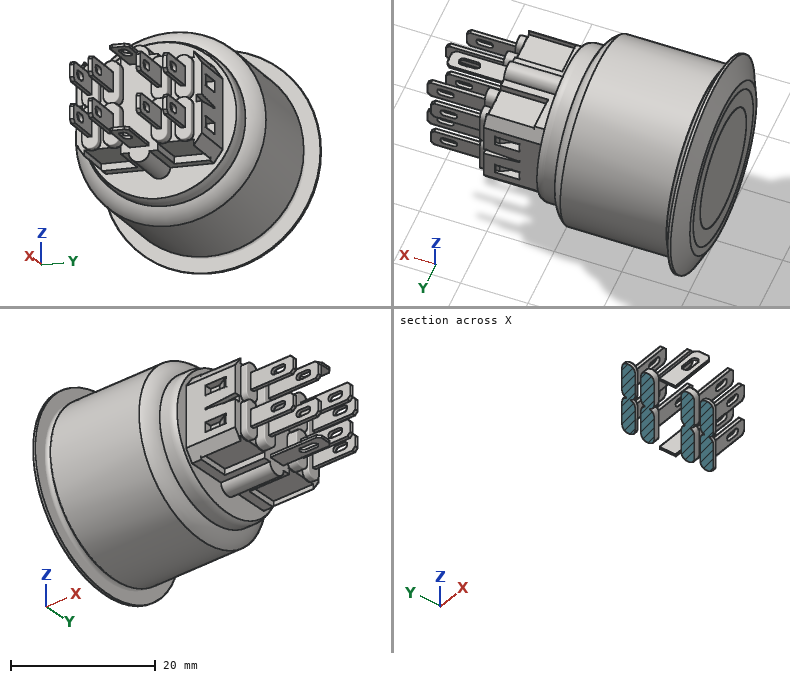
import cadquery as cq


flange_dia = 32.0
face_dia = 25.35
neck_dia = 26.92
neck_rear_rise = 0.3
body_dia = 27.9
collar_dia = 23.1
flange_cone_length = 1.55
flange_length = 2.0
neck_end = 3.0
body_end = 18.75
collar_start = 20.5
shoulder_bulge = 0.2
collar_length = 2.8
collar_end = collar_start + collar_length
collar_fillet = 1.1
collar_fillet_drop = 0.35

face_gaps = [(17.6, 17.5), (22.8, 22.75)]
face_gap_depth = 0.42

block_end = 31.95
block_half_width = 9.2
block_top_half_width = 7.9
block_half_height = 6.95
block_side_half_height = 5.1
rib_radius = 1.53
rib_height = 1.45

pocket_start = 24.95
pocket_inner_y = 2.7
pocket_outer_y = 8.0
pocket_floor_z = 5.95

row_z = 3.0
window_start = 26.65
window_end = 30.3
window_height = 1.6
window_depth = 1.2
latch_ramp_start = 28.3
latch_ramp_end = 29.72
latch_depth = 0.4
slit_depth = 0.85
slit_tip_width = 0.15
slit_end_width = 0.98

boss_width = 2.37
boss_height = 6.15
boss_corner_radius = 1.1
boss_edge_fillet = 0.13
outer_row_y = 6.83
outer_boss_length = 1.1
inner_row_y = 3.5
inner_boss_length = 1.65

part_length = 42.4
short_terminal_end = 40.6
terminal_width = 2.8
terminal_root = 0.85
terminal_corner = 0.5
side_terminal_thickness = 0.6
side_hole_length = 2.45
side_hole_width = 1.1
middle_terminal_z = 5.98
middle_terminal_thickness = 0.42
middle_hole_length = 3.1
middle_hole_width = 1.2
hole_end_margin = 1.45


def box(x_range, y_range, z_range):
    """Axis-aligned box spanning the given (low, high) ranges."""
    lows, highs = zip(x_range, y_range, z_range)
    size = [high - low for low, high in zip(lows, highs)]
    return cq.Workplane("XY").box(*size, centered=False).translate(lows)


def turned_body():
    """Flange, neck groove, barrel and rear collar as one revolved profile."""
    body_radius = body_dia / 2
    neck_radius = neck_dia / 2
    collar_radius = collar_dia / 2
    rounded_radius = collar_radius - collar_fillet_drop
    neck_mid = ((flange_length + neck_end) / 2, neck_radius)
    shoulder_mid = (
        (body_end + collar_start) / 2 + shoulder_bulge,
        (body_radius + collar_radius) / 2 + shoulder_bulge,
    )
    profile = (
        cq.Workplane("XY")
        .lineTo(0, face_dia / 2)
        .lineTo(flange_cone_length, flange_dia / 2)
        .lineTo(flange_length, flange_dia / 2)
        .lineTo(flange_length, body_radius)
        .threePointArc(neck_mid, (neck_end, neck_radius + neck_rear_rise))
        .lineTo(neck_end, body_radius)
        .lineTo(body_end, body_radius)
        .threePointArc(shoulder_mid, (collar_start, collar_radius))
        .lineTo(collar_end - collar_fillet, collar_radius)
        .tangentArcPoint((collar_end, rounded_radius), relative=False)
        .lineTo(collar_end, 0)
        .close()
    )
    body = profile.revolve(360, (0, 0, 0), (1, 0, 0))
    for outer_dia, inner_dia in face_gaps:
        gap = cq.Workplane("YZ").circle(outer_dia / 2).circle(inner_dia / 2).extrude(face_gap_depth)
        body = body.cut(gap)
    return body


def terminal_block():
    """Chamfered block with a round rib along the middle of its top and bottom."""
    length = block_end - collar_end
    corners = [
        (block_half_width, block_side_half_height),
        (block_top_half_width, block_half_height),
        (-block_top_half_width, block_half_height),
        (-block_half_width, block_side_half_height),
        (-block_half_width, -block_side_half_height),
        (-block_top_half_width, -block_half_height),
        (block_top_half_width, -block_half_height),
        (block_half_width, -block_side_half_height),
    ]
    base = cq.Workplane("YZ", origin=(collar_end, 0, 0))
    block = base.polyline(corners).close().extrude(length)
    rib_z = block_half_height + rib_height - rib_radius
    for side in (1, -1):
        block = block.union(base.center(0, side * rib_z).circle(rib_radius).extrude(length))
    return block


def top_pocket():
    """Cutter for the pocket in the +Y, +Z quarter of the block."""
    return box(
        (pocket_start, block_end),
        (pocket_inner_y, pocket_outer_y),
        (pocket_floor_z, block_half_height),
    )


def latch_window():
    """Cutter for the +Y, +Z latch window; it leaves the ramped latch inside."""
    floor_y = block_half_width - window_depth
    latch_y = block_half_width - latch_depth
    return (
        cq.Workplane("XY", origin=(0, 0, row_z - window_height / 2))
        .moveTo(window_start, block_half_width)
        .lineTo(window_start, floor_y)
        .lineTo(latch_ramp_start, floor_y)
        .lineTo(latch_ramp_end, latch_y)
        .lineTo(window_end, latch_y)
        .lineTo(window_end, block_half_width)
        .close()
        .extrude(window_height)
    )


def side_slit():
    """Cutter for the slit in the +Y side, widening towards the rear."""
    half_tip = slit_tip_width / 2
    half_end = slit_end_width / 2
    outline = [
        (window_start, half_tip),
        (block_end, half_end),
        (block_end, -half_end),
        (window_start, -half_tip),
    ]
    return (
        cq.Workplane("XZ", origin=(0, block_half_width, 0))
        .polyline(outline)
        .close()
        .extrude(slit_depth)
    )


def boss(y, length):
    """Rounded boss on the rear of the block, in the upper row."""
    return (
        cq.Workplane("YZ", origin=(block_end, y, row_z))
        .rect(boss_width, boss_height)
        .extrude(length)
        .edges("|X")
        .fillet(boss_corner_radius)
        .faces(">X")
        .edges()
        .fillet(boss_edge_fillet)
    )


def terminal(end, thickness, hole_length, hole_width):
    """Flat terminal lying in the XY plane with clipped corners and a slotted eye."""
    start = block_end - terminal_root
    blade = (
        cq.Workplane("XY")
        .box(end - start, terminal_width, thickness)
        .translate(((start + end) / 2, 0, 0))
        .edges("|Z and >X")
        .chamfer(terminal_corner)
    )
    hole_x = end - hole_end_margin - hole_length / 2
    eye = cq.Workplane("XY").center(hole_x, 0).slot2D(hole_length, hole_width)
    return blade.cut(eye.extrude(thickness, both=True))


def side_terminal(y, end):
    """Terminal standing on edge in the upper row."""
    flat = terminal(end, side_terminal_thickness, side_hole_length, side_hole_width)
    return flat.rotate((0, 0, 0), (1, 0, 0), 90).translate((0, y, row_z))


def four_way(shape):
    """Copies of a shape mirrored into all four Y/Z quarters."""
    pair = [shape, shape.mirror("XZ")]
    return pair + [copy.mirror("XY") for copy in pair]


block = terminal_block()
for cutter in four_way(top_pocket()) + four_way(latch_window()):
    block = block.cut(cutter)
for slit in (side_slit(), side_slit().mirror("XZ")):
    block = block.cut(slit)

result = turned_body().union(block)

side_rows = [
    (outer_row_y, outer_boss_length, short_terminal_end),
    (inner_row_y, inner_boss_length, part_length),
]
for y, boss_length, terminal_end in side_rows:
    for piece in four_way(boss(y, boss_length)) + four_way(side_terminal(y, terminal_end)):
        result = result.union(piece)

middle_terminal = terminal(
    short_terminal_end, middle_terminal_thickness, middle_hole_length, middle_hole_width
)
for z in (middle_terminal_z, -middle_terminal_z):
    result = result.union(middle_terminal.translate((0, 0, z)))